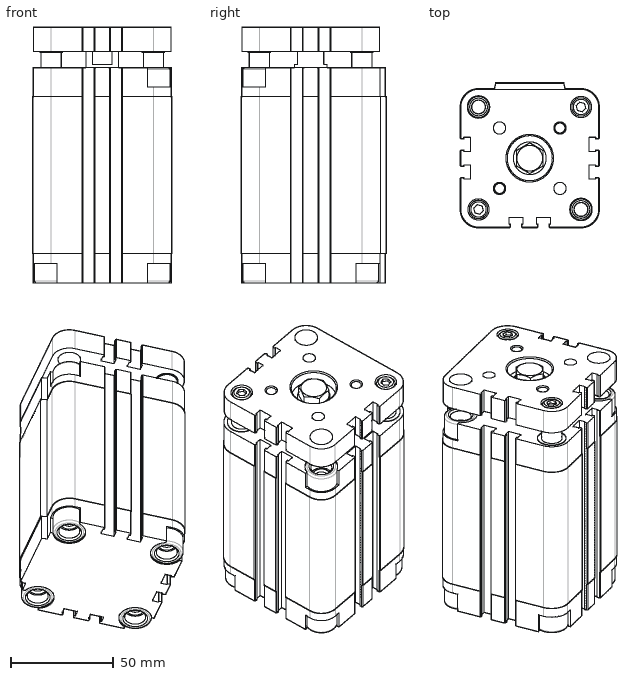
import cadquery as cq
import math

TOTAL_HEIGHT = 125.0
PLATE_THICKNESS = 12.0
HOUSING_HEIGHT = 105.2
BARREL_SIDE = 68.0
CAP_SIDE = 67.5
PLATE_SIDE = 67.2
LOWER_CAP_HEIGHT = 14.5
UPPER_CAP_HEIGHT = 14.2
SCREW_OFFSET = 25.0

RIB_TOP_Y_BARREL = 37.0
RIB_TOP_Y_CAP = 36.5
RIB_TOP_WIDTH = 33.2
RIB_BASE_WIDTH = 34.5

SLOT_OFFSET = 6.8
SLOT_INNER_WIDTH = 6.8
SLOT_MOUTH_WIDTH = 5.5
SLOT_FLOOR = 29.0
SLOT_LIP = 32.1
SLOT_EDGE_CHAMFER = 0.4

LUG_DIAMETER = 16.0
LUG_HEIGHT = 9.5
LUG_FILLET = 1.0
LUG_RELIEF_INNER = 22.1
LUG_BORE_DIAMETER = 10.2
LUG_BORE_DEPTH = 6.0
LUG_BORE_CHAMFER = 0.9
LUG_SINK_DIAMETER = 8.6
LUG_THROUGH_DIAMETER = 6.6

GUIDE_DIAMETER = 10.0
GUIDE_COLLAR_DIAMETER = 11.0
GUIDE_COLLAR_HEIGHT = 0.4
GUIDE_SEAT_DIAMETER = 14.0
GUIDE_SEAT_DEPTH = 0.2

ROD_DIAMETER = 16.0
ROD_FLAT_DISTANCE = 13.0
ROD_BASE_HEIGHT = 1.5
NUT_ACROSS_FLATS = 13.0
NUT_CHAMFER_HEIGHT = 0.8
NUT_CHAMFER_WIDTH = 1.2
NUT_TOP_GAP = 0.4
WASHER_DIAMETER = 16.0
WASHER_HEIGHT = 0.5

CENTRE_RECESS_DIAMETER = 22.0
CENTRE_RECESS_DEPTH = 6.8
CENTRE_RECESS_CHAMFER = 0.6
ACCESS_HOLE_DIAMETER = 11.0
SMALL_HOLE_OFFSET = 14.8
PLAIN_HOLE_DIAMETER = 6.0
TAPPED_HOLE_DIAMETER = 4.9
TAPPED_HOLE_MOUTH = 6.0
SCREW_RECESS_DIAMETER = 10.4
SCREW_HEAD_DIAMETER = 9.0
SCREW_HEAD_HEIGHT = 5.0
SCREW_HEAD_CHAMFER = 0.8
SOCKET_CORNER_DIAMETER = 4.9
SOCKET_DEPTH = 1.5

PLATE_BOTTOM = TOTAL_HEIGHT - PLATE_THICKNESS
BARREL_TOP = HOUSING_HEIGHT - UPPER_CAP_HEIGHT
RECESS_FLOOR = TOTAL_HEIGHT - CENTRE_RECESS_DEPTH

GUIDE_SIGNS = [(1, 1), (-1, -1)]
ACCESS_SIGNS = [(1, -1), (-1, 1)]


def cylinder(diameter, x, y, bottom, top):
    return cq.Workplane("XY", origin=(x, y, bottom)).circle(diameter / 2).extrude(top - bottom)


def cone(bottom_diameter, top_diameter, x, y, bottom, top):
    solid = cq.Solid.makeCone(
        bottom_diameter / 2, top_diameter / 2, top - bottom, cq.Vector(x, y, bottom)
    )
    return cq.Workplane(solid)


def box(x_range, y_range, z_range):
    sizes = [high - low for low, high in (x_range, y_range, z_range)]
    corner = (x_range[0], y_range[0], z_range[0])
    return cq.Workplane("XY").box(*sizes, centered=False).translate(corner)


def rounded_square(side, bottom, top):
    """Square block whose corner arcs are centred on the screw axes."""
    block = cq.Workplane("XY", origin=(0, 0, bottom)).rect(side, side).extrude(top - bottom)
    return block.edges("|Z").fillet(side / 2 - SCREW_OFFSET)


def back_rib(rib_top_y, base_y, bottom, top):
    """Tapered rib along the back, sunk slightly past base_y towards the axis."""
    root_y = SLOT_FLOOR
    return (
        cq.Workplane("XY", origin=(0, 0, bottom))
        .moveTo(-RIB_BASE_WIDTH / 2, root_y)
        .lineTo(-RIB_BASE_WIDTH / 2, base_y)
        .lineTo(-RIB_TOP_WIDTH / 2, rib_top_y)
        .lineTo(RIB_TOP_WIDTH / 2, rib_top_y)
        .lineTo(RIB_BASE_WIDTH / 2, base_y)
        .lineTo(RIB_BASE_WIDTH / 2, root_y)
        .close()
        .extrude(top - bottom)
    )


def t_slot(face):
    """T-slot profile centred on X = 0 in a front side at Y = -face, swept over the full height."""
    floor_half = SLOT_INNER_WIDTH / 2
    mouth_half = SLOT_MOUTH_WIDTH / 2
    flare_half = mouth_half + SLOT_EDGE_CHAMFER
    right_half = [
        (floor_half, -SLOT_FLOOR),
        (floor_half, -SLOT_LIP),
        (mouth_half, -SLOT_LIP),
        (mouth_half, -face + SLOT_EDGE_CHAMFER),
        (flare_half, -face),
        (flare_half, -RIB_TOP_Y_BARREL),
    ]
    left_half = [(-x, y) for x, y in reversed(right_half)]
    return cq.Workplane("XY").polyline(right_half + left_half).close().extrude(TOTAL_HEIGHT)


def cut_t_slots(block, side):
    """Two full-height T-slots in each of the front, left and right sides of a square block."""
    for angle in (0, 90, -90):
        for centre in (-SLOT_OFFSET, SLOT_OFFSET):
            slot = t_slot(side / 2).translate((centre, 0, 0))
            block = block.cut(slot.rotate((0, 0, 0), (0, 0, 1), angle))
    return block


def lower_lug():
    """Round lug with a filleted lower rim, at the lower end of the +X +Y corner."""
    lug = cylinder(LUG_DIAMETER, SCREW_OFFSET, SCREW_OFFSET, 0, LUG_HEIGHT)
    return lug.faces("<Z").edges().fillet(LUG_FILLET)


def lug_relief():
    """Material to remove around the lower lug of the +X +Y corner."""
    outer = (LUG_RELIEF_INNER, BARREL_SIDE)
    corner = box(outer, outer, (0, LUG_HEIGHT))
    rim_groove = cylinder(LUG_DIAMETER, SCREW_OFFSET, SCREW_OFFSET, 0, LUG_FILLET)
    return corner.union(rim_groove).cut(lower_lug())


def lug_bore():
    """Screw bore of the lower lug of the +X +Y corner, countersunk into its through hole."""
    axis = (SCREW_OFFSET, SCREW_OFFSET)
    mouth = LUG_BORE_DIAMETER + 2 * LUG_BORE_CHAMFER
    sink_depth = (LUG_SINK_DIAMETER - LUG_THROUGH_DIAMETER) / 2
    sink_end = LUG_BORE_DEPTH + sink_depth
    bore = cylinder(LUG_BORE_DIAMETER, *axis, 0, LUG_BORE_DEPTH)
    bore = bore.union(cone(mouth, LUG_BORE_DIAMETER, *axis, 0, LUG_BORE_CHAMFER))
    return bore.union(cone(LUG_SINK_DIAMETER, LUG_THROUGH_DIAMETER, *axis, LUG_BORE_DEPTH, sink_end))


def make_housing():
    stages = [
        (BARREL_SIDE, RIB_TOP_Y_BARREL, LOWER_CAP_HEIGHT, BARREL_TOP),
        (CAP_SIDE, RIB_TOP_Y_CAP, 0, LOWER_CAP_HEIGHT),
        (CAP_SIDE, RIB_TOP_Y_CAP, BARREL_TOP, HOUSING_HEIGHT),
    ]
    housing = cq.Workplane("XY")
    for side, rib_top_y, bottom, top in stages:
        block = cut_t_slots(rounded_square(side, bottom, top), side)
        housing = housing.add(block.union(back_rib(rib_top_y, side / 2, bottom, top)))
    housing = housing.combine()

    lower_cut = lug_relief().union(lug_bore())
    upper_cut = lower_cut.mirror("XY").translate((0, 0, HOUSING_HEIGHT))
    for quarter in range(4):
        housing = housing.cut(lower_cut.rotate((0, 0, 0), (0, 0, 1), 90 * quarter))
    for angle in (90, -90):
        housing = housing.cut(upper_cut.rotate((0, 0, 0), (0, 0, 1), angle))

    for x_sign, y_sign in ACCESS_SIGNS:
        axis = (x_sign * SCREW_OFFSET, y_sign * SCREW_OFFSET)
        housing = housing.cut(cylinder(LUG_THROUGH_DIAMETER, *axis, 0, HOUSING_HEIGHT))
    for x_sign, y_sign in GUIDE_SIGNS:
        axis = (x_sign * SCREW_OFFSET, y_sign * SCREW_OFFSET)
        seat_floor = HOUSING_HEIGHT - GUIDE_SEAT_DEPTH
        housing = housing.cut(cylinder(GUIDE_SEAT_DIAMETER, *axis, seat_floor, HOUSING_HEIGHT))
    return housing


def chamfered_hole(diameter, mouth, x, y, bottom):
    """Hole from the plate's top face down to bottom, with a 45 degree mouth."""
    depth = (mouth - diameter) / 2
    hole = cylinder(diameter, x, y, bottom, TOTAL_HEIGHT)
    return hole.union(cone(diameter, mouth, x, y, TOTAL_HEIGHT - depth, TOTAL_HEIGHT))


def piston_rod():
    """Rod with two flats facing front and back above a short round base."""
    rod = cylinder(ROD_DIAMETER, 0, 0, HOUSING_HEIGHT, RECESS_FLOOR)
    flats_bottom = HOUSING_HEIGHT + ROD_BASE_HEIGHT
    half_width = (-ROD_DIAMETER, ROD_DIAMETER)
    for y_range in ((ROD_FLAT_DISTANCE / 2, ROD_DIAMETER), (-ROD_DIAMETER, -ROD_FLAT_DISTANCE / 2)):
        rod = rod.cut(box(half_width, y_range, (flats_bottom, PLATE_BOTTOM)))
    return rod


def nut():
    """Hexagon with faces on the left and right and a chamfered top, on a washer."""
    top = TOTAL_HEIGHT - NUT_TOP_GAP
    corner_diameter = NUT_ACROSS_FLATS / math.cos(math.radians(30))
    hexagon = (
        cq.Workplane("XY", origin=(0, 0, RECESS_FLOOR))
        .polygon(6, corner_diameter)
        .extrude(top - RECESS_FLOOR)
        .rotate((0, 0, 0), (0, 0, 1), 30)
    )
    shoulder = top - NUT_CHAMFER_HEIGHT
    top_diameter = corner_diameter - 2 * NUT_CHAMFER_WIDTH
    envelope = cylinder(corner_diameter, 0, 0, RECESS_FLOOR, shoulder)
    envelope = envelope.union(cone(corner_diameter, top_diameter, 0, 0, shoulder, top))
    washer = cylinder(WASHER_DIAMETER, 0, 0, RECESS_FLOOR, RECESS_FLOOR + WASHER_HEIGHT)
    return hexagon.intersect(envelope).union(washer)


def guide_rod(x, y):
    collar_bottom = PLATE_BOTTOM - GUIDE_COLLAR_HEIGHT
    rod = cylinder(GUIDE_DIAMETER, x, y, HOUSING_HEIGHT - GUIDE_SEAT_DEPTH, PLATE_BOTTOM)
    return rod.union(cylinder(GUIDE_COLLAR_DIAMETER, x, y, collar_bottom, PLATE_BOTTOM))


def screw_head(x, y):
    """Socket head standing in its recess, flush with the plate's top face."""
    bottom = TOTAL_HEIGHT - SCREW_HEAD_HEIGHT
    head = cylinder(SCREW_HEAD_DIAMETER, x, y, bottom, TOTAL_HEIGHT)
    head = head.faces(">Z").chamfer(SCREW_HEAD_CHAMFER)
    socket = (
        cq.Workplane("XY", origin=(0, 0, TOTAL_HEIGHT - SOCKET_DEPTH))
        .polygon(6, SOCKET_CORNER_DIAMETER)
        .extrude(SOCKET_DEPTH)
        .rotate((0, 0, 0), (0, 0, 1), 45)
    )
    return head.cut(socket.translate((x, y, 0)))


def make_carriage():
    """End plate together with the piston rod, guide rods, nut and screws fixed to it."""
    plate = cut_t_slots(rounded_square(PLATE_SIDE, PLATE_BOTTOM, TOTAL_HEIGHT), PLATE_SIDE)
    recess_mouth = CENTRE_RECESS_DIAMETER + 2 * CENTRE_RECESS_CHAMFER
    plate = plate.cut(chamfered_hole(CENTRE_RECESS_DIAMETER, recess_mouth, 0, 0, RECESS_FLOOR))

    for x_sign, y_sign in ACCESS_SIGNS:
        access_axis = (x_sign * SCREW_OFFSET, y_sign * SCREW_OFFSET)
        plain_axis = (x_sign * SMALL_HOLE_OFFSET, y_sign * SMALL_HOLE_OFFSET)
        plate = plate.cut(cylinder(ACCESS_HOLE_DIAMETER, *access_axis, PLATE_BOTTOM, TOTAL_HEIGHT))
        plate = plate.cut(cylinder(PLAIN_HOLE_DIAMETER, *plain_axis, PLATE_BOTTOM, TOTAL_HEIGHT))

    for x_sign, y_sign in GUIDE_SIGNS:
        axis = (x_sign * SCREW_OFFSET, y_sign * SCREW_OFFSET)
        tapped_axis = (x_sign * SMALL_HOLE_OFFSET, y_sign * SMALL_HOLE_OFFSET)
        recess_bottom = TOTAL_HEIGHT - SCREW_HEAD_HEIGHT
        plate = plate.cut(
            chamfered_hole(TAPPED_HOLE_DIAMETER, TAPPED_HOLE_MOUTH, *tapped_axis, PLATE_BOTTOM)
        )
        plate = plate.cut(cylinder(SCREW_RECESS_DIAMETER, *axis, recess_bottom, TOTAL_HEIGHT))
        plate = plate.union(screw_head(*axis)).union(guide_rod(*axis))

    return plate.union(piston_rod()).union(nut())


housing = make_housing()
carriage = make_carriage()

result = cq.Compound.makeCompound([housing.val(), carriage.val()])